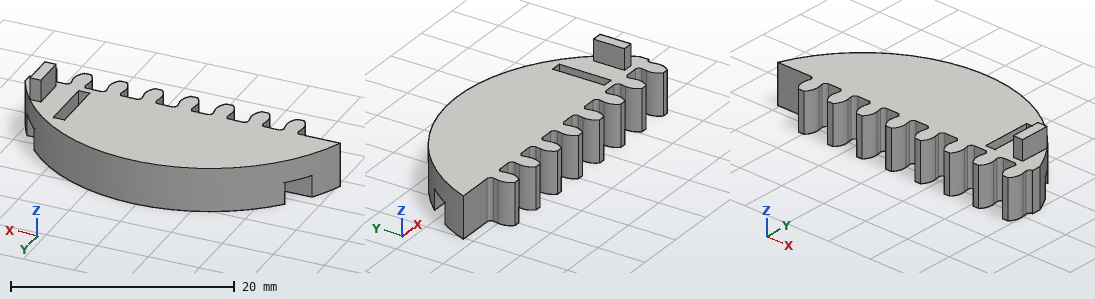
import cadquery as cq
import math


tooth_pitch = 3.48
teeth_left_of_center = 3
teeth_right_of_center = 4
tooth_height = 2.475
neck_half_width = 0.705
tip_half_width = 0.33
flank_angle = math.radians(10)
fillet_depth = 0.46
belly_depth = 1.0
fillet_radius = fillet_depth / (1 + math.sin(flank_angle))
root_half_width = neck_half_width + fillet_radius
root_overlap = 0.3

thickness = 4.4
overall_length = 30.45
overall_depth = 13.05
rim_top = overall_depth - tooth_height
right_end = teeth_right_of_center * tooth_pitch + root_half_width
left_end = right_end - overall_length
rim_radius = (left_end**2 + rim_top**2) / (2 * rim_top)
rim_center_y = rim_top - rim_radius
right_corner_y = rim_center_y + math.sqrt(rim_radius**2 - right_end**2)

grid = 1.1
front_margin = 0.7
tab_left = 12.1
tab_length = 3 * grid
tab_height = 2 * grid
slot_left = 8.8
slot_length = 5 * grid
slot_depth = 1.5 * grid

channel_front = 2.9
channel_width = 2 * grid
channel_height = 2 * grid


def block(x, y, z, length, width, height):
    """Box placed by its lowest corner."""
    return cq.Workplane("XY").box(length, width, height, centered=False).translate((x, y, z))


def make_body():
    return (
        cq.Workplane("XY")
        .moveTo(left_end, 0)
        .lineTo(right_end, 0)
        .lineTo(right_end, right_corner_y)
        .threePointArc((0, rim_top), (left_end, 0))
        .close()
        .extrude(thickness)
    )


def make_tooth(center_x):
    """Bellied tooth: concave root fillet, flank widening outward, then a convex arc to the flat tip."""
    fillet_mid_angle = (math.pi / 2 - flank_angle) / 2
    fillet_mid_x = root_half_width - fillet_radius * math.cos(fillet_mid_angle)
    fillet_mid_y = -fillet_radius * (1 - math.sin(fillet_mid_angle))
    fillet_end_x = root_half_width - fillet_radius * math.cos(flank_angle)
    belly_x = fillet_end_x + (belly_depth - fillet_depth) * math.tan(flank_angle)
    half_tooth = (
        cq.Workplane("XY")
        .moveTo(0, root_overlap)
        .lineTo(root_half_width, root_overlap)
        .lineTo(root_half_width, 0)
        .threePointArc((fillet_mid_x, fillet_mid_y), (fillet_end_x, -fillet_depth))
        .lineTo(belly_x, -belly_depth)
        .tangentArcPoint((tip_half_width, -tooth_height), relative=False)
        .lineTo(0, -tooth_height)
        .close()
        .extrude(thickness)
    )
    return half_tooth.union(half_tooth.mirror("YZ")).translate((center_x, 0, 0))


def make_tab():
    return block(tab_left, front_margin, thickness, grid, tab_length, tab_height)


def make_slot():
    return block(slot_left, front_margin, thickness - slot_depth, grid, slot_length, slot_depth)


def make_channel():
    return block(left_end, channel_front, 0, overall_length, channel_width, channel_height)


result = make_body()
for index in range(-teeth_left_of_center, teeth_right_of_center + 1):
    result = result.union(make_tooth(index * tooth_pitch))
result = result.union(make_tab()).cut(make_slot()).cut(make_channel())